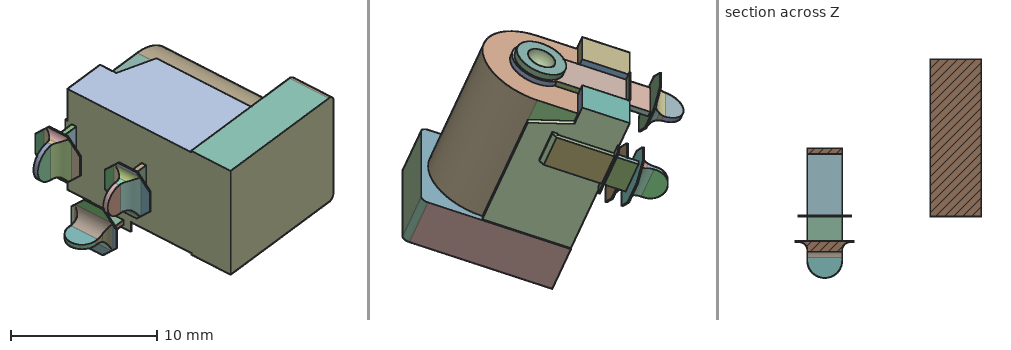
import cadquery as cq
import math


flange_length = 3.5
flange_height = 9.0
flange_top_y = 4.5
flange_corner_radius = 0.5
barrel_radius = 3.99
barrel_end_x = -13.7
base_y = -6.5
base_height = 8.75
base_end_x = -14.5
step_y = base_y + 3.5
slope_bottom_x = -13.05
slope_top_x = -11.99

metal_thickness = 0.4
rear_width = 3.0
middle_width = 2.5
lower_width = 2.4
rear_x = barrel_end_x - metal_thickness / 2
middle_x = -7.7
lower_x = -10.7
lower_z = -flange_height / 2 - metal_thickness / 2
upright_tip_y = base_y - 4.1
lower_tip_y = base_y - 4.2
bend_outer_y = -1.83
bend_chamfer = 0.32

contact_radius = 1.99
rivet_radius = 1.81
rivet_end_x = -14.56
dimple_radius = 1.0
slot_width = 3.21

plate_thickness = 0.11
rear_plate_end_x = -14.69
lower_plate_length = 3.63
lower_plate_bottom_z = -5.22

pad_width = 3.99
pad_sides = 8
pad_thickness = 0.11
pad_face_y = base_y - 1.76
face_fillet = 1.0
edge_fillet = 0.5


def box(x_range, y_range, z_range):
    """Block between pairs of coordinates."""
    spans = [high - low for low, high in (x_range, y_range, z_range)]
    corner = (x_range[0], y_range[0], z_range[0])
    return cq.Workplane("XY").box(*spans, centered=False).translate(corner)


def rod(radius, start_x, end_x):
    """Cylinder on the barrel axis, from start_x toward -X."""
    return cq.Workplane("YZ", origin=(end_x, 0, 0)).circle(radius).extrude(start_x - end_x)


def flared_profile(plane, half_size, fillet, root_y, tip_y, rounded):
    """Sketch of a lead that flares concavely onto its pad, with a flat or round tip."""
    flare_half = half_size + fillet
    flare_end_y = pad_face_y - fillet
    arc_middle = fillet * (1 - math.sqrt(0.5))
    middle = (half_size + arc_middle, pad_face_y - arc_middle)
    tip_start_y = tip_y + half_size if rounded else tip_y
    sketch = (
        cq.Workplane(plane)
        .moveTo(-half_size, root_y)
        .lineTo(half_size, root_y)
        .lineTo(half_size, pad_face_y)
        .lineTo(flare_half, pad_face_y)
        .threePointArc(middle, (half_size, flare_end_y))
        .lineTo(half_size, tip_start_y)
    )
    if rounded:
        sketch = sketch.threePointArc((0, tip_y), (-half_size, tip_start_y))
    else:
        sketch = sketch.lineTo(-half_size, tip_start_y)
    return (
        sketch.lineTo(-half_size, flare_end_y)
        .threePointArc((-middle[0], middle[1]), (-flare_half, pad_face_y))
        .lineTo(-half_size, pad_face_y)
        .close()
    )


def octagon(length, start_y):
    """Regular octagonal prism, flats facing X and Z, running from start_y toward -Y."""
    corner_diameter = pad_width / math.cos(math.pi / pad_sides)
    outline = cq.Workplane("XZ", origin=(0, start_y, 0)).polygon(pad_sides, corner_diameter)
    prism = outline.extrude(length)
    return prism.rotate((0, 0, 0), (0, 1, 0), 180 / pad_sides)


def soldered_lead(width, root_y, tip_y):
    """Flat lead along Y, thin in X and wide in Z, with its pad and solder fillets."""
    by_thickness = flared_profile("XY", metal_thickness / 2, face_fillet, root_y, tip_y, False)
    by_width = flared_profile("ZY", width / 2, edge_fillet, root_y, tip_y, True)
    lead = by_thickness.extrude(pad_width, both=True)
    lead = lead.intersect(by_width.extrude(pad_width, both=True))
    lead = lead.intersect(octagon(root_y - tip_y, root_y))
    return lead.union(octagon(pad_thickness, pad_face_y + pad_thickness))


def make_housing():
    flange = box((-flange_length, 0), (base_y, flange_top_y), (-flange_height / 2, flange_height / 2))
    flange = flange.edges("|X and >Y").fillet(flange_corner_radius)
    base_outline = [
        (-flange_length, base_y),
        (base_end_x, base_y),
        (base_end_x, step_y),
        (slope_bottom_x, step_y),
        (slope_top_x, 0),
        (-flange_length, 0),
    ]
    base = cq.Workplane("XY").polyline(base_outline).close().extrude(base_height / 2, both=True)
    barrel = rod(barrel_radius, -flange_length, barrel_end_x)
    barrel_skirt = box((barrel_end_x, -flange_length), (base_y, 0), (-barrel_radius, barrel_radius))
    slot = box((base_end_x, barrel_end_x), (base_y, step_y), (-slot_width / 2, slot_width / 2))
    return flange.union(base).union(barrel).union(barrel_skirt).cut(slot)


def make_rear_terminal():
    leg = soldered_lead(rear_width, 0, upright_tip_y).translate((rear_x, 0, 0))
    contact_x = barrel_end_x - metal_thickness
    contact = rod(contact_radius, barrel_end_x, contact_x)
    rivet = rod(rivet_radius, contact_x, rivet_end_x)
    floor_plate = box(
        (rear_plate_end_x, barrel_end_x),
        (base_y, base_y + plate_thickness),
        (-slot_width / 2, slot_width / 2),
    )
    return leg.union(contact).union(rivet).union(floor_plate)


def make_middle_terminal():
    root_y = base_y + metal_thickness
    return soldered_lead(middle_width, root_y, upright_tip_y).translate((middle_x, 0, 0))


def make_lower_terminal():
    leg = soldered_lead(lower_width, bend_outer_y - metal_thickness, lower_tip_y)
    leg = leg.rotate((0, 0, 0), (0, 1, 0), 90).translate((lower_x, 0, lower_z))
    x_range = (lower_x - lower_width / 2, lower_x + lower_width / 2)
    bottom_z = lower_z - metal_thickness / 2
    upright = box(x_range, (bend_outer_y - metal_thickness, bend_outer_y), (bottom_z, -barrel_radius))
    upright = upright.edges(">Y and <Z").chamfer(bend_chamfer)
    side_plate = box(
        (lower_x - lower_plate_length / 2, lower_x + lower_plate_length / 2),
        (base_y, base_y + plate_thickness),
        (lower_plate_bottom_z, -barrel_radius),
    )
    return leg.union(upright).union(side_plate)


def make_rivet_dimple():
    """Hemispherical hollow that reaches through the rivet into the barrel."""
    quarter_disc = (
        cq.Workplane("XY", origin=(rivet_end_x, 0, 0))
        .lineTo(0, dimple_radius)
        .radiusArc((dimple_radius, 0), dimple_radius)
        .close()
    )
    return quarter_disc.revolve(360, (0, 0), (1, 0))


result = make_housing()
for terminal in (make_rear_terminal(), make_middle_terminal(), make_lower_terminal()):
    result = result.union(terminal)
result = result.cut(make_rivet_dimple())